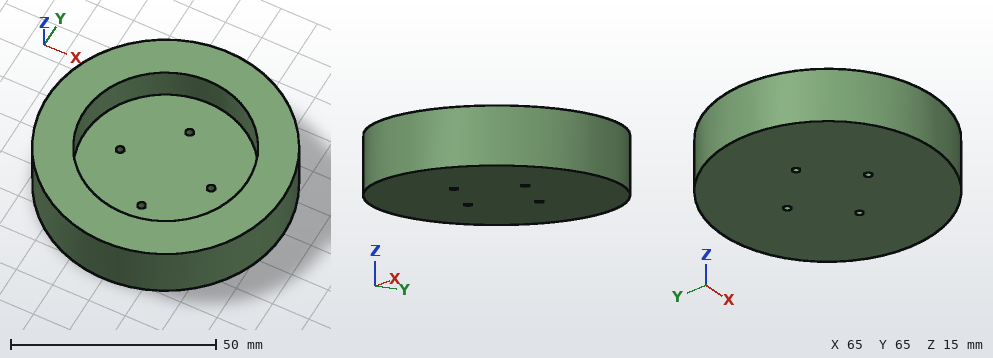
import cadquery as cq

outer_diameter = 65
height = 15.0
recess_diameter = 45.0
recess_depth = 9.0
hole_diameter = 2.0
hole_circle_diameter = 25.0
hole_count = 4

body = cq.Workplane("XY").circle(outer_diameter / 2).extrude(height)

body = body.faces(">Z").workplane().circle(recess_diameter / 2).cutBlind(-recess_depth)

hole_cutters = (
    cq.Workplane("XY")
    .polarArray(hole_circle_diameter / 2, 0, 360, hole_count)
    .circle(hole_diameter / 2)
    .extrude(height)
)

result = body.cut(hole_cutters)